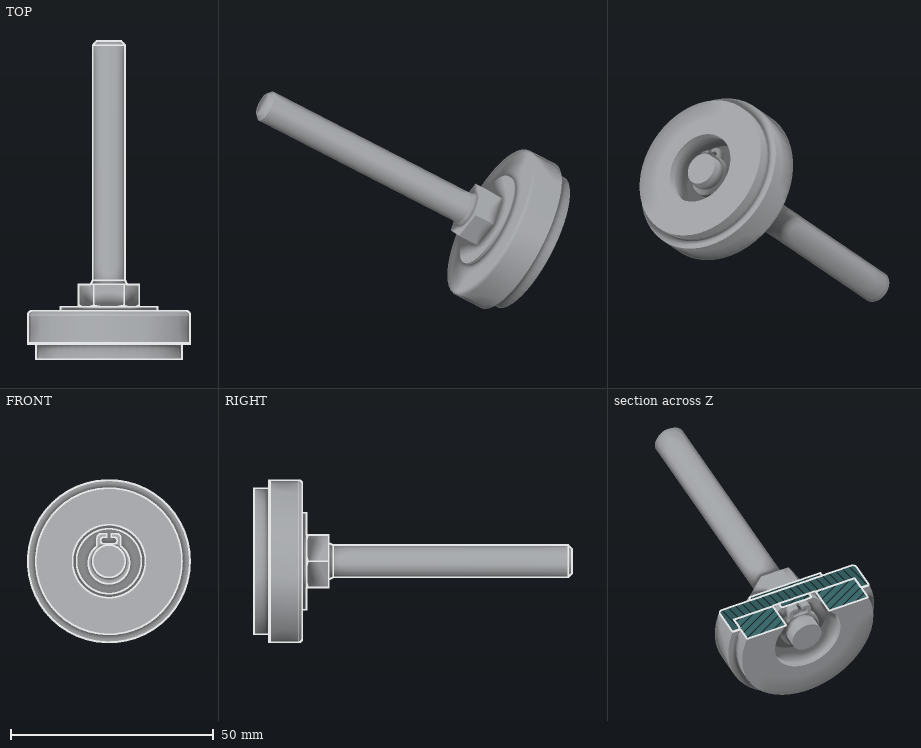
import cadquery as cq
import math


TOTAL_LENGTH = 78.5
PIN_END = 0.5
PAD_STEP = 3.7
RIM_THICKNESS = 0.4
RECESS_FLOOR = 7.7
PLATE_TOP = 12.0
TOP_WASHER_THICKNESS = 1.0
HEX_HEIGHT = 5.5

PLATE_DIAMETER = 40.0
PAD_DIAMETER = 36.0
RECESS_DIAMETER = 18.0
PLATE_FILLET = 1.0

STUD_DIAMETER = 8.0
TIP_CHAMFER = 1.0
HEX_ACROSS_FLATS = 13.0
HEX_BEVEL_HEIGHT = 0.3
HEX_BEVEL_DEPTH = 0.6
COLLAR_DIAMETER = 9.0
COLLAR_HEIGHT = 1.0

TOP_WASHER_DIAMETER = 24.0
INNER_WASHER_DIAMETER = 16.0
INNER_WASHER_THICKNESS = 1.6

CLIP_THICKNESS = 2.0
CLIP_DIAMETER = 10.2
CLIP_DROP = 0.5
LUG_WIDTH = 5.9
LUG_TOP = 6.8
LUG_RADIUS = 1.2
WINDOW_WIDTH = 4.0
WINDOW_BOTTOM = 4.3
WINDOW_TOP = 5.9
WINDOW_RADIUS = 0.6
CLIP_GAP = 1.1

PLATE_BOTTOM = PAD_STEP + RIM_THICKNESS
HEX_BOTTOM = PLATE_TOP + TOP_WASHER_THICKNESS
HEX_TOP = HEX_BOTTOM + HEX_HEIGHT
CLIP_BACK = RECESS_FLOOR - INNER_WASHER_THICKNESS
CLIP_FRONT = CLIP_BACK - CLIP_THICKNESS


def section_at(y):
    """Workplane across the axis at height y, facing +Y, with local x = X and local y = -Z."""
    return cq.Workplane("XZ", origin=(0, y, 0)).transformed(rotate=(180, 0, 0))


def disc(diameter, y_start, y_end):
    """Solid cylinder on the axis between two stations."""
    return section_at(y_start).circle(diameter / 2).extrude(y_end - y_start)


def washer(diameter, y_start, y_end):
    """Ring that fits closely round the stud."""
    return disc(diameter, y_start, y_end).cut(disc(STUD_DIAMETER, y_start, y_end))


def make_pad():
    """Pad that fills the plate's pocket, with a thin rim under the plate wall, open in the middle."""
    body = disc(PAD_DIAMETER, 0, RECESS_FLOOR)
    rim = disc(PLATE_DIAMETER, PAD_STEP, PLATE_BOTTOM)
    return body.union(rim).cut(disc(RECESS_DIAMETER, 0, RECESS_FLOOR))


def make_plate():
    """Cup-shaped base plate with a pocket for the pad and a bore for the stud."""
    plate = disc(PLATE_DIAMETER, PLATE_BOTTOM, PLATE_TOP)
    plate = plate.faces(">Y").edges().fillet(PLATE_FILLET)
    pocket = disc(PAD_DIAMETER, PLATE_BOTTOM, RECESS_FLOOR)
    bore = disc(STUD_DIAMETER, RECESS_FLOOR, PLATE_TOP)
    return plate.cut(pocket).cut(bore)


def make_hex():
    """Hexagon with corners on X, its lower corners turned to a cone."""
    across_corners = HEX_ACROSS_FLATS / math.cos(math.pi / 6)
    prism = section_at(HEX_BOTTOM).polygon(6, across_corners).extrude(HEX_HEIGHT)
    envelope = disc(across_corners, HEX_BOTTOM, HEX_TOP)
    envelope = envelope.faces("<Y").chamfer(HEX_BEVEL_HEIGHT, HEX_BEVEL_DEPTH)
    return prism.intersect(envelope)


def make_stud():
    """Round rod with a hexagon, a conical collar above it and a chamfered tip."""
    rod = disc(STUD_DIAMETER, PIN_END, TOTAL_LENGTH).faces(">Y").chamfer(TIP_CHAMFER)
    collar = (
        section_at(HEX_TOP).circle(COLLAR_DIAMETER / 2)
        .workplane(offset=COLLAR_HEIGHT).circle(STUD_DIAMETER / 2)
        .loft(ruled=True)
    )
    return rod.union(make_hex()).union(collar)


def clip_block(width, z_bottom, z_top):
    """Box through the clip thickness, centred on X."""
    return cq.Workplane("XY").box(width, CLIP_THICKNESS, z_top - z_bottom).translate(
        (0, (CLIP_FRONT + CLIP_BACK) / 2, (z_bottom + z_top) / 2)
    )


def make_clip():
    """Retaining ring round the pin with a lug that has a window and a gap at its top."""
    ring = disc(CLIP_DIAMETER, CLIP_FRONT, CLIP_BACK).translate((0, 0, -CLIP_DROP))
    lug = clip_block(LUG_WIDTH, 0, LUG_TOP).edges("|Y and >Z").fillet(LUG_RADIUS)
    window = clip_block(WINDOW_WIDTH, WINDOW_BOTTOM, WINDOW_TOP).edges("|Y").fillet(WINDOW_RADIUS)
    gap = clip_block(CLIP_GAP, WINDOW_BOTTOM, LUG_TOP)
    pin = disc(STUD_DIAMETER, CLIP_FRONT, CLIP_BACK)
    return ring.union(lug).cut(window).cut(gap).cut(pin)


pad = make_pad()
plate = make_plate()
top_washer = washer(TOP_WASHER_DIAMETER, PLATE_TOP, HEX_BOTTOM)
stud = make_stud()
inner_washer = washer(INNER_WASHER_DIAMETER, CLIP_BACK, RECESS_FLOOR)
clip = make_clip()

result = cq.Compound.makeCompound([
    pad.val(),
    plate.val(),
    top_washer.val(),
    stud.val(),
    inner_washer.val(),
    clip.val(),
])